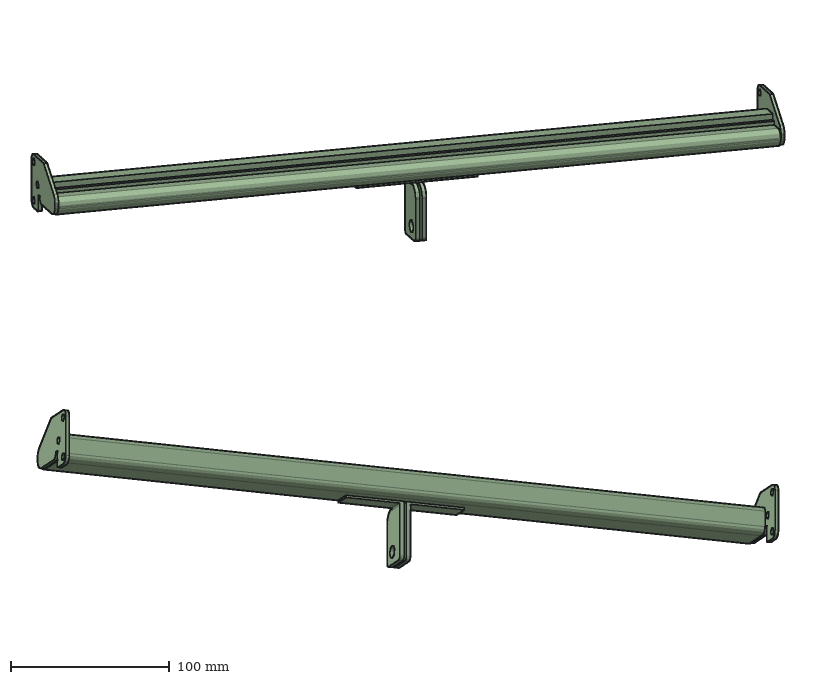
import cadquery as cq

TOTAL_DEPTH = 51.0
TOTAL_LENGTH = 483.5
TOTAL_HEIGHT = 67.0

PLATE_THICKNESS = 2.5
BAR_LENGTH = TOTAL_LENGTH - 2 * PLATE_THICKNESS
BAR_BACK_X = 17.0
BAR_FRONT_X = 47.5
BAR_BOTTOM_Z = 38.0
BAR_TOP_Z = 56.0
FIRST_STEP_X = 31.5
LEDGE_WIDTH = 3.5
SECOND_STEP_X = FIRST_STEP_X + LEDGE_WIDTH
FIRST_STEP_DROP = 4.0
SECOND_STEP_DROP = 2.5
LEDGE_Z = BAR_TOP_Z - FIRST_STEP_DROP
NOSE_TOP_Z = LEDGE_Z - SECOND_STEP_DROP
BAR_BACK_TOP_RADIUS = 3.0
BAR_BACK_BOTTOM_RADIUS = 5.0
BAR_NOSE_RADIUS = 5.5

PLATE_FRONT_X = 48.5
PLATE_BOTTOM_Z = BAR_BOTTOM_Z + 0.5
PLATE_SLOPE_START_X = 25.0
PLATE_SLOPE_END_Z = 51.0
PLATE_NOSE_RADIUS = 7.0
TAIL_WIDTH = 14.5
TAIL_BOTTOM_Z = 32.0
BACK_CORNER_RADIUS = 5.0
TAIL_FRONT_RADIUS = 1.5
RELIEF_WIDTH = 3.0
RELIEF_TOP_Z = 43.0
RELIEF_RADIUS = 3.5
PLATE_HOLE_DIAMETER = 4.5
CORNER_HOLE_INSET = 5.0
MIDDLE_HOLE_X = 12.5
MIDDLE_HOLE_Z = 49.5

FLANGE_THICKNESS = 1.5
STEM_THICKNESS = 3.0
STEM_GAP = 1.5
STEM_INNER_Y = STEM_GAP / 2
STEM_OUTER_Y = STEM_INNER_Y + STEM_THICKNESS
FLANGE_BOTTOM_Z = BAR_BOTTOM_Z - FLANGE_THICKNESS
FLANGE_END_Y = 40.0
BRACKET_BACK_X = 29.0
FLANGE_FRONT_X = 42.5
STEM_TOP_RADIUS = TOTAL_DEPTH - FLANGE_FRONT_X
STEM_BOTTOM_RADIUS = 2.5
BEND_RADIUS = 1.0
BRACKET_HOLE_DIAMETER = 7.5
BRACKET_HOLE_X = 42.0
BRACKET_HOLE_Z = 8.0

PICK_MARGIN = 0.05


def prism(outline, start_y, length):
    """Extrude an XZ outline towards +Y from start_y."""
    return cq.Workplane("XZ", origin=(0, start_y, 0)).polyline(outline).close().extrude(-length)


def round_edge(body, x, z, radius):
    """Round the edge that runs along Y through (x, z)."""
    along_y = cq.selectors.BoxSelector(
        (x - PICK_MARGIN, -TOTAL_LENGTH, z - PICK_MARGIN),
        (x + PICK_MARGIN, TOTAL_LENGTH, z + PICK_MARGIN),
    )
    return body.edges(along_y).fillet(radius)


def drill(body, x, z, diameter):
    """Cut a hole along Y right through the body."""
    hole = (
        cq.Workplane("XZ", origin=(x, -TOTAL_LENGTH, z))
        .circle(diameter / 2)
        .extrude(-2 * TOTAL_LENGTH)
    )
    return body.cut(hole)


def make_bar():
    bar = prism([
        (BAR_BACK_X, BAR_BOTTOM_Z),
        (BAR_FRONT_X, BAR_BOTTOM_Z),
        (BAR_FRONT_X, NOSE_TOP_Z),
        (SECOND_STEP_X, NOSE_TOP_Z),
        (SECOND_STEP_X, LEDGE_Z),
        (FIRST_STEP_X, LEDGE_Z),
        (FIRST_STEP_X, BAR_TOP_Z),
        (BAR_BACK_X, BAR_TOP_Z),
    ], -BAR_LENGTH / 2, BAR_LENGTH)
    bar = round_edge(bar, BAR_BACK_X, BAR_TOP_Z, BAR_BACK_TOP_RADIUS)
    bar = round_edge(bar, BAR_BACK_X, BAR_BOTTOM_Z, BAR_BACK_BOTTOM_RADIUS)
    for z in (BAR_BOTTOM_Z, NOSE_TOP_Z):
        bar = round_edge(bar, BAR_FRONT_X, z, BAR_NOSE_RADIUS)
    return bar


def make_end_plate(start_y):
    relief_front_x = TAIL_WIDTH + RELIEF_WIDTH
    plate = prism([
        (0, TAIL_BOTTOM_Z),
        (TAIL_WIDTH, TAIL_BOTTOM_Z),
        (TAIL_WIDTH, RELIEF_TOP_Z),
        (relief_front_x, RELIEF_TOP_Z),
        (relief_front_x, PLATE_BOTTOM_Z),
        (PLATE_FRONT_X, PLATE_BOTTOM_Z),
        (PLATE_FRONT_X, PLATE_SLOPE_END_Z),
        (PLATE_SLOPE_START_X, TOTAL_HEIGHT),
        (0, TOTAL_HEIGHT),
    ], start_y, PLATE_THICKNESS)
    for z in (TAIL_BOTTOM_Z, TOTAL_HEIGHT):
        plate = round_edge(plate, 0, z, BACK_CORNER_RADIUS)
    for z in (PLATE_BOTTOM_Z, PLATE_SLOPE_END_Z):
        plate = round_edge(plate, PLATE_FRONT_X, z, PLATE_NOSE_RADIUS)
    plate = round_edge(plate, TAIL_WIDTH, TAIL_BOTTOM_Z, TAIL_FRONT_RADIUS)
    plate = round_edge(plate, relief_front_x, PLATE_BOTTOM_Z, RELIEF_RADIUS)

    for z in (TAIL_BOTTOM_Z + CORNER_HOLE_INSET, TOTAL_HEIGHT - CORNER_HOLE_INSET):
        plate = drill(plate, CORNER_HOLE_INSET, z, PLATE_HOLE_DIAMETER)
    return drill(plate, MIDDLE_HOLE_X, MIDDLE_HOLE_Z, PLATE_HOLE_DIAMETER)


def make_stem():
    """Upright leg of the bracket on the +Y side."""
    stem = prism([
        (BRACKET_BACK_X, 0),
        (TOTAL_DEPTH, 0),
        (TOTAL_DEPTH, FLANGE_BOTTOM_Z),
        (BRACKET_BACK_X, FLANGE_BOTTOM_Z),
    ], STEM_INNER_Y, STEM_THICKNESS)
    for x in (BRACKET_BACK_X, TOTAL_DEPTH):
        stem = round_edge(stem, x, 0, STEM_BOTTOM_RADIUS)
    stem = round_edge(stem, TOTAL_DEPTH, FLANGE_BOTTOM_Z, STEM_TOP_RADIUS)
    return drill(stem, BRACKET_HOLE_X, BRACKET_HOLE_Z, BRACKET_HOLE_DIAMETER)


def make_bend():
    """Concave strip that rounds the inside corner between stem and flange."""
    return (
        cq.Workplane("YZ", origin=(BRACKET_BACK_X, 0, 0))
        .moveTo(STEM_OUTER_Y, FLANGE_BOTTOM_Z)
        .lineTo(STEM_OUTER_Y, FLANGE_BOTTOM_Z - BEND_RADIUS)
        .radiusArc((STEM_OUTER_Y + BEND_RADIUS, FLANGE_BOTTOM_Z), BEND_RADIUS)
        .close()
        .extrude(FLANGE_FRONT_X - BRACKET_BACK_X)
    )


def make_bracket(side):
    """Angle bracket on the +Y (side = 1) or -Y (side = -1) half."""
    flange = cq.Workplane("XY", origin=(BRACKET_BACK_X, STEM_INNER_Y, FLANGE_BOTTOM_Z)).box(
        FLANGE_FRONT_X - BRACKET_BACK_X,
        FLANGE_END_Y - STEM_INNER_Y,
        FLANGE_THICKNESS,
        centered=False,
    )
    bracket = make_stem().union(flange).union(make_bend())
    return bracket if side > 0 else bracket.mirror("XZ")


bar = make_bar()
end_plates = [make_end_plate(y) for y in (-TOTAL_LENGTH / 2, BAR_LENGTH / 2)]
brackets = [make_bracket(side) for side in (-1, 1)]

result = cq.Compound.makeCompound([
    bar.solids().val(),
    *[plate.solids().val() for plate in end_plates],
    *[bracket.solids().val() for bracket in brackets],
])